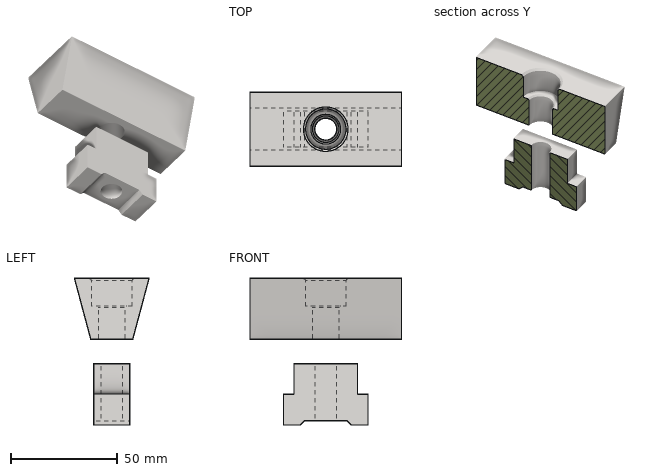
import cadquery as cq

BLOCK_LENGTH = 71.5
BLOCK_TOP_WIDTH = 35.0
BLOCK_BOTTOM_WIDTH = 19.9
BLOCK_HEIGHT = 28.8
LIP_HEIGHT = 0.5

COUNTERBORE_DIAMETER = 19.0
COUNTERBORE_DEPTH = 13.0
COUNTERBORE_CHAMFER = 1.0
BOLT_HOLE_DIAMETER = 12.5
BOLT_HOLE_CHAMFER = 0.8

NUT_WIDTH = 40.05
NUT_NECK_WIDTH = 30.0
NUT_THICKNESS = 17.0
NUT_HEIGHT = 29.0
NUT_SHOULDER_HEIGHT = 14.65
NUT_HOLE_DIAMETER = 10.2
RELIEF_ROOF_WIDTH = 20.0
RELIEF_DEPTH = 2.0

TOTAL_HEIGHT = 69.3
BLOCK_BOTTOM = TOTAL_HEIGHT - BLOCK_HEIGHT


def make_block_body():
    """Extrude the tapered cross-section along X."""
    half_top = BLOCK_TOP_WIDTH / 2
    half_bottom = BLOCK_BOTTOM_WIDTH / 2
    lip_bottom = TOTAL_HEIGHT - LIP_HEIGHT
    section = [
        (-half_bottom, BLOCK_BOTTOM),
        (half_bottom, BLOCK_BOTTOM),
        (half_top, lip_bottom),
        (half_top, TOTAL_HEIGHT),
        (-half_top, TOTAL_HEIGHT),
        (-half_top, lip_bottom),
    ]
    return cq.Workplane("YZ").polyline(section).close().extrude(BLOCK_LENGTH / 2, both=True)


def make_block_hole():
    """Revolve the counterbored hole, with a chamfer at the mouth of each step."""
    bolt_radius = BOLT_HOLE_DIAMETER / 2
    bore_radius = COUNTERBORE_DIAMETER / 2
    floor = TOTAL_HEIGHT - COUNTERBORE_DEPTH
    profile = [
        (0, BLOCK_BOTTOM),
        (bolt_radius, BLOCK_BOTTOM),
        (bolt_radius, floor - BOLT_HOLE_CHAMFER),
        (bolt_radius + BOLT_HOLE_CHAMFER, floor),
        (bore_radius, floor),
        (bore_radius, TOTAL_HEIGHT - COUNTERBORE_CHAMFER),
        (bore_radius + COUNTERBORE_CHAMFER, TOTAL_HEIGHT),
        (0, TOTAL_HEIGHT),
    ]
    return cq.Workplane("XZ").polyline(profile).close().revolve(360, (0, 0), (0, 1))


def make_nut():
    """Extrude the T outline along Y, with a relief underneath and a vertical hole."""
    half_width = NUT_WIDTH / 2
    half_neck = NUT_NECK_WIDTH / 2
    half_roof = RELIEF_ROOF_WIDTH / 2
    half_mouth = half_roof + RELIEF_DEPTH
    outline = [
        (-half_width, 0),
        (-half_mouth, 0),
        (-half_roof, RELIEF_DEPTH),
        (half_roof, RELIEF_DEPTH),
        (half_mouth, 0),
        (half_width, 0),
        (half_width, NUT_SHOULDER_HEIGHT),
        (half_neck, NUT_SHOULDER_HEIGHT),
        (half_neck, NUT_HEIGHT),
        (-half_neck, NUT_HEIGHT),
        (-half_neck, NUT_SHOULDER_HEIGHT),
        (-half_width, NUT_SHOULDER_HEIGHT),
    ]
    body = cq.Workplane("XZ").polyline(outline).close().extrude(NUT_THICKNESS / 2, both=True)
    hole = cq.Workplane("XY").circle(NUT_HOLE_DIAMETER / 2).extrude(NUT_HEIGHT)
    return body.cut(hole)


block = make_block_body().cut(make_block_hole())
nut = make_nut()

result = cq.Compound.makeCompound([block.val(), nut.val()])